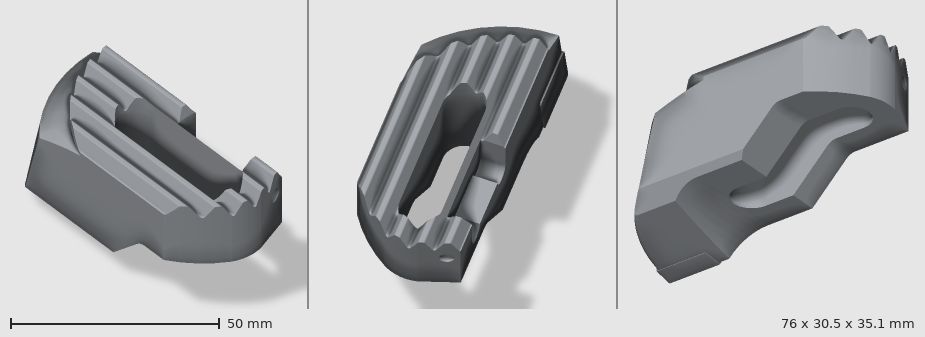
import cadquery as cq
import math


tooth_pitch = 6.0
tooth_count = 5
top_z = 35.1
crest_half_width = 0.7
flank_angle = 30.0
tooth_round = 0.495

body_length = 76.0
body_width = tooth_count * tooth_pitch
body_bottom_z = 0.265
bottom_slope = 6.0
bottom_round = 0.8
front_chamfer_z = 7.15

slot_width = 10.8
slot_left_x = 29.8
slot_right_x = 70.15
slot_y = -13.1

axis_x = 44.2
land_radius = 31.9
land_bottom_z = 30.6
shoulder_z = 26.5
shoulder_radius = 39.2
nose_angle = 10.0

tail_radius = 35.5
tail_back_x = 72.35
tail_tip_end = (75.7, -9.9)
tail_tip_x = body_length
tail_tip_y = slot_y
tail_kink_y = -18.3

tail_bottom_z = 16.8
step_bottom_z = 5.5
tail_bottom_x = 56.5
tail_relief_radius = 3.8
step_start_x = 30.3
step_radius = 15.6

notch_left_x = 41.8
notch_right_x = 64.5
notch_depth = 6.4
notch_floor_z = 23.55
groove_radius = 2.65
notch_chamfer_width = 1.0
notch_chamfer_height = 3.05

screw_hole_radius = 1.75
screw_hole_z = 28.1

insert_length = 16.1
insert_height = 15.8
insert_thickness = 5.55
insert_proud = 0.45
insert_clearance = 7.0
insert_corner_radius = 0.9

margin = 7.6


def plan_prism():
    """Outline seen along the vertical axis, with the pointed round tail."""
    kink_x = axis_x + math.sqrt(tail_radius**2 - tail_kink_y**2)
    front_x = axis_x + math.sqrt(tail_radius**2 - body_width**2)
    kink_angle = math.atan2(tail_kink_y, kink_x - axis_x)
    front_angle = math.atan2(-body_width, front_x - axis_x)
    middle_angle = (kink_angle + front_angle) / 2
    middle = (axis_x + tail_radius * math.cos(middle_angle), tail_radius * math.sin(middle_angle))
    return (
        cq.Workplane("XY")
        .moveTo(0, 0)
        .lineTo(tail_back_x, 0)
        .lineTo(*tail_tip_end)
        .threePointArc((tail_tip_x, tail_tip_y), (kink_x, tail_kink_y))
        .threePointArc(middle, (front_x, -body_width))
        .lineTo(0, -body_width)
        .close()
        .extrude(top_z)
    )


def sloped_bottom_cutter():
    """Everything below a plane that rises toward the front."""
    reach = 2 * body_length
    rise = reach * math.tan(math.radians(bottom_slope))
    return (
        cq.Workplane("YZ")
        .polyline(
            [
                (reach, body_bottom_z - rise),
                (-reach, body_bottom_z + rise),
                (-reach, -reach),
                (reach, -reach),
            ]
        )
        .close()
        .extrude(reach, both=True)
    )


def nose_limit():
    """Nose cones and land with a rounded bottom rim, joined to a block that leaves the tail free."""
    cone_bottom_z = -2 * margin
    bottom_radius = shoulder_radius + (shoulder_z - cone_bottom_z) * math.tan(math.radians(nose_angle))
    nose = (
        cq.Workplane("XZ")
        .polyline(
            [
                (0, cone_bottom_z),
                (bottom_radius, cone_bottom_z),
                (shoulder_radius, shoulder_z),
                (land_radius, land_bottom_z),
                (land_radius, top_z),
                (0, top_z),
            ]
        )
        .close()
        .revolve(360, (0, 0, 0), (0, 1, 0))
        .translate((axis_x, 0, 0))
        .cut(sloped_bottom_cutter())
        .faces("<Z")
        .edges()
        .fillet(bottom_round)
    )
    tail_block = (
        cq.Workplane("XY", origin=(axis_x, 0, 0))
        .box(body_length, 2 * body_width + margin, top_z, centered=(False, True, False))
    )
    return nose.union(tail_block)


def front_chamfer_cutter():
    """Wedge, long in X, that takes 45 degrees off the lower front edge."""
    return (
        cq.Workplane("YZ")
        .moveTo(-body_width, front_chamfer_z)
        .lineTo(-body_width + front_chamfer_z, 0)
        .lineTo(-body_width, 0)
        .close()
        .extrude(body_length)
    )


def underside_cutter():
    """Space below the stepped underside, along the whole width."""
    relief_turn = math.radians(45)
    relief_end_x = tail_bottom_x - tail_relief_radius * math.sin(relief_turn)
    relief_end_z = tail_bottom_z - tail_relief_radius * (1 - math.cos(relief_turn))
    relief_middle = (
        tail_bottom_x - tail_relief_radius * math.sin(relief_turn / 2),
        tail_bottom_z - tail_relief_radius * (1 - math.cos(relief_turn / 2)),
    )
    step_end_x = relief_end_x - (relief_end_z - step_bottom_z)
    arc_centre_z = step_bottom_z - step_radius
    arc_end = (step_start_x - math.sqrt(step_radius**2 - arc_centre_z**2), 0)
    arc_turn = math.asin((step_start_x - arc_end[0]) / step_radius) / 2
    arc_middle = (
        step_start_x - step_radius * math.sin(arc_turn),
        arc_centre_z + step_radius * math.cos(arc_turn),
    )
    return (
        cq.Workplane("XZ")
        .moveTo(*arc_end)
        .threePointArc(arc_middle, (step_start_x, step_bottom_z))
        .lineTo(step_end_x, step_bottom_z)
        .lineTo(relief_end_x, relief_end_z)
        .threePointArc(relief_middle, (tail_bottom_x, tail_bottom_z))
        .lineTo(body_length + margin, tail_bottom_z)
        .lineTo(body_length + margin, 0)
        .close()
        .extrude(body_width + margin)
    )


def serration_limit():
    """Block with a rounded rack of teeth on top, one tooth wider than the body on each side."""
    flank_slope = math.tan(math.radians(flank_angle))
    valley_z = top_z - (tooth_pitch / 2 - crest_half_width) / flank_slope
    points = [(tooth_pitch, 0), (tooth_pitch, valley_z)]
    for tooth in range(-1, tooth_count + 1):
        crest_y = -(tooth + 0.5) * tooth_pitch
        points.append((crest_y + crest_half_width, top_z))
        points.append((crest_y - crest_half_width, top_z))
        points.append((crest_y - tooth_pitch / 2, valley_z))
    points.append((points[-1][0], 0))
    rack = cq.Workplane("YZ").polyline(points).close().extrude(body_length + margin)
    return rack.edges("|X").fillet(tooth_round)


def slot_cutter():
    length = slot_right_x - slot_left_x
    return (
        cq.Workplane("XY")
        .center((slot_left_x + slot_right_x) / 2, slot_y)
        .slot2D(length, slot_width)
        .extrude(top_z)
    )


def notch_cutter():
    """Notch open to the back, with flared mouth and a round groove along each side of its floor."""
    chamfer_z = top_z - notch_chamfer_height
    cutter = (
        cq.Workplane("XZ")
        .polyline(
            [
                (notch_left_x, notch_floor_z),
                (notch_left_x, chamfer_z),
                (notch_left_x - notch_chamfer_width, top_z),
                (notch_right_x + notch_chamfer_width, top_z),
                (notch_right_x, chamfer_z),
                (notch_right_x, notch_floor_z),
            ]
        )
        .close()
        .extrude(notch_depth)
    )
    for groove_x in (notch_left_x + groove_radius, notch_right_x - groove_radius):
        groove = cq.Workplane("XZ").center(groove_x, notch_floor_z).circle(groove_radius).extrude(notch_depth)
        cutter = cutter.union(groove)
    return cutter


def screw_hole_cutter():
    return (
        cq.Workplane("YZ", origin=(notch_right_x - groove_radius, -notch_depth / 2, screw_hole_z))
        .circle(screw_hole_radius)
        .extrude(body_length)
    )


def make_insert():
    """Leaning plate with rounded corners whose sides all taper in toward the front."""
    lean = math.tan(math.radians(nose_angle))
    tip_overhang = insert_corner_radius * (lean + 1 / math.cos(math.radians(nose_angle)) - 1)
    left_x = -tip_overhang
    top_shift = insert_height * lean
    corners = [
        (left_x, 0),
        (left_x + insert_length, 0),
        (left_x + insert_length + top_shift, insert_height),
        (left_x + top_shift, insert_height),
    ]
    outline = cq.Sketch().polygon(corners + corners[:1]).vertices().fillet(insert_corner_radius)
    return (
        cq.Workplane("XZ", origin=(0, insert_proud, 0))
        .placeSketch(outline)
        .extrude(insert_thickness, taper=insert_clearance)
    )


def make_body(insert):
    body = plan_prism().intersect(nose_limit())
    body = body.cut(front_chamfer_cutter()).cut(underside_cutter())
    body = body.intersect(serration_limit())
    body = body.cut(slot_cutter()).cut(notch_cutter()).cut(screw_hole_cutter())
    return body.cut(insert).solids()


insert = make_insert()
body = make_body(insert)

result = cq.Compound.makeCompound([body.val(), insert.val()])